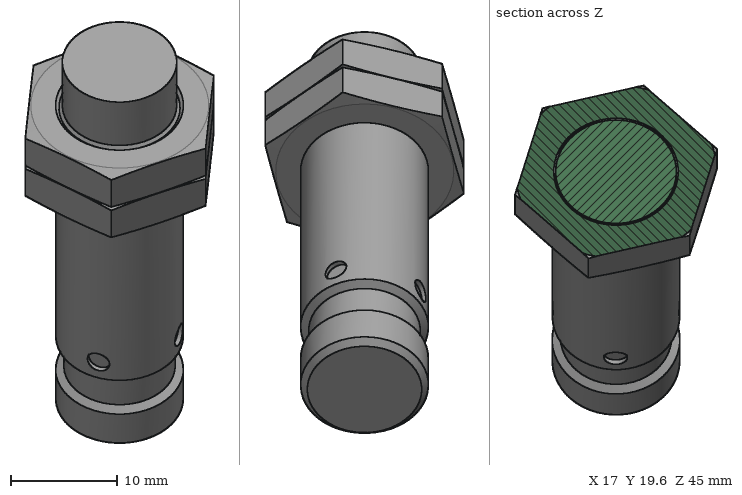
import cadquery as cq
import math

TOTAL_LENGTH = 45.0
BODY_DIAMETER = 12.0
TIP_DIAMETER = 10.75
THREAD_DIAMETER = 11.4
REAR_CHAMFER_WIDTH = 0.65
REAR_CHAMFER_HEIGHT = 0.65

GROOVE_DIAMETER = 10.5
GROOVE_BOTTOM = 4.45
GROOVE_TOP = 8.9
GROOVE_SLOPE_HEIGHT = 0.5

WINDOW_COUNT = 4
WINDOW_DIAMETER = 2.2
WINDOW_DEPTH = 0.5
WINDOW_HEIGHT = 11.0
FIRST_WINDOW_ANGLE = 45.0

NUT_COUNT = 2
NUT_WIDTH = 17.0
NUT_HEIGHT = 4.0
NUT_STACK_BOTTOM = 31.28
NUT_FACE_DIAMETER = 16.75
NUT_CORNER_DROP = 0.22
NUT_CORNER_DIAMETER = NUT_WIDTH / math.cos(math.pi / 6)
COUNTERSINK_DEPTH = (BODY_DIAMETER - THREAD_DIAMETER) / 2

THREAD_TOP = NUT_STACK_BOTTOM + NUT_COUNT * NUT_HEIGHT
THREAD_CHAMFER = (THREAD_DIAMETER - TIP_DIAMETER) / 2


def revolve_profile(points):
    """Revolve a closed (radius, height) outline about Z."""
    profile = cq.Workplane("XZ").polyline(points).close()
    return profile.revolve(360, (0, 0), (0, 1))


def make_window_cutter(angle):
    """Flat-bottomed radial pocket tool, starting inside the body surface."""
    floor_distance = BODY_DIAMETER / 2 - WINDOW_DEPTH
    cutter = cq.Workplane("YZ", origin=(floor_distance, 0, WINDOW_HEIGHT))
    cutter = cutter.circle(WINDOW_DIAMETER / 2).extrude(2 * WINDOW_DEPTH)
    return cutter.rotate((0, 0, 0), (0, 0, 1), angle)


def make_body():
    """Turned sensor body with a rear groove, threaded seat, plain tip and windows."""
    body_radius = BODY_DIAMETER / 2
    groove_radius = GROOVE_DIAMETER / 2
    thread_radius = THREAD_DIAMETER / 2
    tip_radius = TIP_DIAMETER / 2
    body = revolve_profile([
        (0, 0),
        (body_radius - REAR_CHAMFER_WIDTH, 0),
        (body_radius, REAR_CHAMFER_HEIGHT),
        (body_radius, GROOVE_BOTTOM),
        (groove_radius, GROOVE_BOTTOM + GROOVE_SLOPE_HEIGHT),
        (groove_radius, GROOVE_TOP - GROOVE_SLOPE_HEIGHT),
        (body_radius, GROOVE_TOP),
        (body_radius, NUT_STACK_BOTTOM),
        (thread_radius, NUT_STACK_BOTTOM),
        (thread_radius, THREAD_TOP - THREAD_CHAMFER),
        (tip_radius, THREAD_TOP),
        (tip_radius, TOTAL_LENGTH),
        (0, TOTAL_LENGTH),
    ])
    for index in range(WINDOW_COUNT):
        angle = FIRST_WINDOW_ANGLE + index * 360 / WINDOW_COUNT
        body = body.cut(make_window_cutter(angle))
    return body


def make_nut(bottom):
    """Hexagon nut with corners along Y, conical corners and a countersunk bore."""
    hexagon = cq.Workplane("XY").polygon(6, NUT_CORNER_DIAMETER).extrude(NUT_HEIGHT)
    hexagon = hexagon.rotate((0, 0, 0), (0, 0, 1), 30)

    bore_radius = THREAD_DIAMETER / 2
    countersink_radius = BODY_DIAMETER / 2
    face_radius = NUT_FACE_DIAMETER / 2
    corner_radius = NUT_CORNER_DIAMETER / 2
    ring = revolve_profile([
        (countersink_radius, 0),
        (face_radius, 0),
        (corner_radius, NUT_CORNER_DROP),
        (corner_radius, NUT_HEIGHT - NUT_CORNER_DROP),
        (face_radius, NUT_HEIGHT),
        (countersink_radius, NUT_HEIGHT),
        (bore_radius, NUT_HEIGHT - COUNTERSINK_DEPTH),
        (bore_radius, COUNTERSINK_DEPTH),
    ])
    return hexagon.intersect(ring).translate((0, 0, bottom))


body = make_body()
nuts = [make_nut(NUT_STACK_BOTTOM + index * NUT_HEIGHT) for index in range(NUT_COUNT)]

result = cq.Compound.makeCompound([body.val(), *[nut.val() for nut in nuts]])